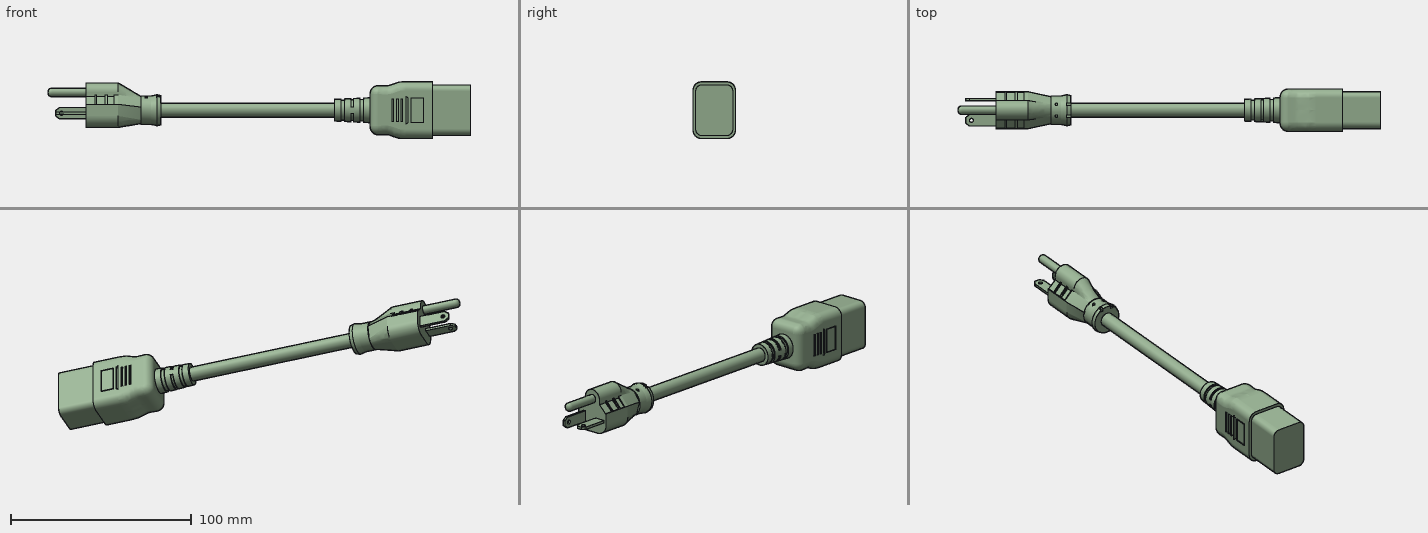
import cadquery as cq
import math


plug_face_x = 21.0
plug_taper_x = 38.8
collar_x = 51.4
plug_end_x = 62.3
relief_x = 158.3
housing_x = 177.9
shroud_x = 212.5
cord_end_x = 233.5

cutter_margin = 2.3

pin_diameter = 5.0
pin_height = 9.8
pin_tip_round = 2.0
blade_tip_x = 4.2
blade_width = 6.3
blade_thickness = 1.5
blade_tip_length = 2.0
blade_tip_inset = 1.6
blade_height = -1.6
upright_blade_y = 5.8
flat_blade_y = -5.5
blade_hole_x = 7.5
blade_hole_diameter = 2.0

crown_radius = 5.4
plug_half_width = 10.3
plug_bottom_z = -9.5
plug_corner_radius = 6.3
shoulder_top_z = 8.5
shoulder_bottom_z = 3.3

pocket_spans = [(plug_face_x, 26.0), (26.8, 31.5), (33.0, 36.5)]
pocket_inner_top_z = 7.5
pocket_inner_bottom_y = 9.8

collar_radius = 8.0
taper_end_radius = 7.7
rim_radius = 8.6
rim_x = 60.2
rim_flare_x = 57.0
collar_end_radius = 8.2
dimple_x = 54.5
dimple_y = 3.3
dimple_diameter = 1.5
dimple_depth = 1.2
rim_notch_length = 2.3
rim_notch_width = 1.5

cable_radius = 4.0

relief_start_radius = 6.0
relief_end_radius = 7.0
relief_groove_depth = 0.7
relief_ring_grooves = [(162.0, 163.9), (172.3, 174.4)]
relief_slot_start = 167.4
relief_slot_end = 168.8
relief_bridge_height = 3.5

housing_width = 23.5
housing_height = 31.5
grip_height = 27.3
housing_corner_radius = 5.0
housing_back_round = 4.7
blend_start_x = 182.8
ramp_start_x = 188.2
ramp_end_x = 193.8
blend_end_x = 197.7
ramp_rise = 1.9
shroud_width = 20.5
shroud_height = 28.0
shroud_corner_radius = 3.5

grip_groove_centers = [190.5, 193.0, 195.5]
grip_groove_width = 1.0
grip_groove_height = 12.4
grip_groove_depth = 1.2
stop_groove_x = 197.7
stop_groove_width = 1.2
stop_groove_back_height = 15.5
stop_groove_front_height = 13.5
panel_start_x = 200.5
panel_length = 7.0
panel_height = 13.5
panel_depth = 0.5


def on_circle(radius, degrees):
    """Point of a circle about the cable axis, in the YZ plane."""
    angle = math.radians(degrees)
    return radius * math.cos(angle), radius * math.sin(angle)


def mirrored(point):
    return -point[0], point[1]


def plug_section(plane, crown_top, right_points, corner_middle):
    """Closed section symmetric about Z: crown arc, sides, round lower corners and flat bottom.

    The five right-hand points run from the end of the crown arc down to the bottom flat;
    the last two are joined by an arc through corner_middle.
    """
    crown_end, shoulder_top, shoulder_bottom, corner_start, corner_end = right_points
    return (
        plane.moveTo(*mirrored(crown_end))
        .threePointArc(crown_top, crown_end)
        .lineTo(*shoulder_top)
        .lineTo(*shoulder_bottom)
        .lineTo(*corner_start)
        .threePointArc(corner_middle, corner_end)
        .lineTo(*mirrored(corner_end))
        .threePointArc(mirrored(corner_middle), mirrored(corner_start))
        .lineTo(*mirrored(shoulder_bottom))
        .lineTo(*mirrored(shoulder_top))
        .close()
    )


def plug_body_section(plane):
    corner_center_y = plug_half_width - plug_corner_radius
    corner_center_z = plug_bottom_z + plug_corner_radius
    corner_reach_y, corner_reach_z = on_circle(plug_corner_radius, -45)
    right_points = [
        (crown_radius, pin_height),
        (crown_radius, shoulder_top_z),
        (plug_half_width, shoulder_bottom_z),
        (plug_half_width, corner_center_z),
        (corner_center_y, plug_bottom_z),
    ]
    corner_middle = (corner_center_y + corner_reach_y, corner_center_z + corner_reach_z)
    return plug_section(plane, (0, pin_height + crown_radius), right_points, corner_middle)


def taper_end_section(plane):
    right_points = [on_circle(taper_end_radius, degrees) for degrees in (66, 60, 13, -45, -76)]
    return plug_section(plane, (0, taper_end_radius), right_points, on_circle(taper_end_radius, -60))


def make_collar():
    """Turned collar with a flared rim."""
    outline = [
        (collar_x, 0),
        (collar_x, collar_radius),
        (rim_flare_x, collar_radius),
        (rim_x, rim_radius),
        (plug_end_x, collar_end_radius),
        (plug_end_x, 0),
    ]
    collar = cq.Workplane("XY").polyline(outline).close().revolve(360, (0, 0, 0), (1, 0, 0))
    dimple_floor_z = math.sqrt(collar_radius**2 - dimple_y**2) - dimple_depth
    notch_floor_z = math.sqrt(collar_end_radius**2 - dimple_y**2) - dimple_depth
    for side in (-1, 1):
        dimple = (
            cq.Workplane("XY", origin=(dimple_x, side * dimple_y, dimple_floor_z))
            .circle(dimple_diameter / 2)
            .extrude(rim_radius)
        )
        notch = cq.Workplane("XY").box(
            rim_notch_length, rim_notch_width, rim_radius, centered=(False, True, False)
        ).translate((plug_end_x - rim_notch_length, side * dimple_y, notch_floor_z))
        collar = collar.cut(dimple).cut(notch)
    return collar


def finger_pocket(start_x, end_x, side):
    """Recess in one sloping shoulder, with a ledge along its lower edge."""
    outside_y = plug_half_width + cutter_margin
    outline = [
        (side * crown_radius, pin_height),
        (side * crown_radius, pocket_inner_top_z),
        (side * pocket_inner_bottom_y, shoulder_bottom_z),
        (side * outside_y, shoulder_bottom_z),
        (side * outside_y, pin_height),
    ]
    return cq.Workplane("YZ", origin=(start_x, 0, 0)).polyline(outline).close().extrude(end_x - start_x)


def make_ground_pin():
    return (
        cq.Workplane("YZ", origin=(0, 0, pin_height))
        .circle(pin_diameter / 2)
        .extrude(plug_face_x)
        .faces("<X")
        .edges()
        .fillet(pin_tip_round)
    )


def make_blade():
    """Blade lying flat on the cable axis, with a bevelled tip and a hole."""
    half_width = blade_width / 2
    tip_half_width = half_width - blade_tip_inset
    outline = [
        (plug_face_x, half_width),
        (blade_tip_x + blade_tip_length, half_width),
        (blade_tip_x, tip_half_width),
        (blade_tip_x, -tip_half_width),
        (blade_tip_x + blade_tip_length, -half_width),
        (plug_face_x, -half_width),
    ]
    blade = cq.Workplane("XY").polyline(outline).close().extrude(blade_thickness / 2, both=True)
    hole = (
        cq.Workplane("XY")
        .center(blade_hole_x, 0)
        .circle(blade_hole_diameter / 2)
        .extrude(blade_thickness, both=True)
    )
    return blade.cut(hole)


def make_plug():
    body = plug_body_section(cq.Workplane("YZ", origin=(plug_face_x, 0, 0)))
    body = body.extrude(plug_taper_x - plug_face_x)
    taper = plug_body_section(cq.Workplane("YZ", origin=(plug_taper_x, 0, 0)))
    taper = taper_end_section(taper.workplane(offset=collar_x - plug_taper_x)).loft(ruled=True)
    plug = body.union(taper).union(make_collar())
    for start_x, end_x in pocket_spans:
        for side in (-1, 1):
            plug = plug.cut(finger_pocket(start_x, end_x, side))

    flat_blade = make_blade().translate((0, flat_blade_y, blade_height))
    upright_blade = make_blade().rotate((0, 0, 0), (1, 0, 0), 90)
    upright_blade = upright_blade.translate((0, upright_blade_y, blade_height))
    return plug.union(make_ground_pin()).union(flat_blade).union(upright_blade)


def make_cable():
    return cq.Workplane("YZ", origin=(plug_end_x, 0, 0)).circle(cable_radius).extrude(relief_x - plug_end_x)


def relief_radius(x):
    """Outer radius of the conical strain relief at a place along X."""
    share = (x - relief_x) / (housing_x - relief_x)
    return relief_start_radius + share * (relief_end_radius - relief_start_radius)


def relief_ring(start_x, end_x):
    """Ring that cuts a groove of even depth around the strain relief."""
    floor_radius = relief_radius(start_x) - relief_groove_depth
    return (
        cq.Workplane("YZ", origin=(start_x, 0, 0))
        .circle(relief_end_radius + cutter_margin)
        .circle(floor_radius)
        .extrude(end_x - start_x)
    )


def make_strain_relief():
    outline = [
        (relief_x, 0),
        (relief_x, relief_start_radius),
        (housing_x, relief_end_radius),
        (housing_x, 0),
    ]
    relief = cq.Workplane("XY").polyline(outline).close().revolve(360, (0, 0, 0), (1, 0, 0))
    for start_x, end_x in relief_ring_grooves:
        relief = relief.cut(relief_ring(start_x, end_x))
    bridges = cq.Workplane("XY", origin=(relief_slot_start, 0, 0)).box(
        relief_slot_end - relief_slot_start,
        housing_width,
        relief_bridge_height,
        centered=(False, True, True),
    )
    return relief.cut(relief_ring(relief_slot_start, relief_slot_end).cut(bridges))


def make_housing():
    """Rounded block that steps up smoothly from the grip to its full height."""
    grip_z = grip_height / 2
    full_z = housing_height / 2
    ramp_top_z = grip_z + ramp_rise
    rising = [(ramp_start_x, grip_z), (ramp_end_x, ramp_top_z), (blend_end_x, full_z)]
    falling = [(ramp_end_x, -ramp_top_z), (ramp_start_x, -grip_z), (blend_start_x, -grip_z)]
    block = (
        cq.Workplane("XZ")
        .moveTo(housing_x, -grip_z)
        .lineTo(housing_x, grip_z)
        .lineTo(blend_start_x, grip_z)
        .spline(rising, tangents=[(1, 0), (1, 0)], includeCurrent=True)
        .lineTo(shroud_x, full_z)
        .lineTo(shroud_x, -full_z)
        .lineTo(blend_end_x, -full_z)
        .spline(falling, tangents=[(-1, 0), (-1, 0)], includeCurrent=True)
        .close()
        .extrude(housing_width / 2, both=True)
    )
    block = block.faces("<Y or >Y").edges("not |Z").fillet(housing_corner_radius)
    return block.faces("<X").edges().fillet(housing_back_round)


def side_cutter(outline, depth):
    """Prism over an XZ outline that reaches the given depth into the -Y side of the housing."""
    floor_y = depth - housing_width / 2
    return cq.Workplane("XZ", origin=(0, floor_y, 0)).polyline(outline).close().extrude(depth)


def upright_outline(start_x, end_x, start_height, end_height):
    return [
        (start_x, -start_height / 2),
        (start_x, start_height / 2),
        (end_x, end_height / 2),
        (end_x, -end_height / 2),
    ]


def side_cutters():
    """Grip grooves, stop groove and shallow panel of the -Y side."""
    cutters = []
    for center_x in grip_groove_centers:
        start_x = center_x - grip_groove_width / 2
        end_x = center_x + grip_groove_width / 2
        outline = upright_outline(start_x, end_x, grip_groove_height, grip_groove_height)
        cutters.append(side_cutter(outline, grip_groove_depth))
    stop_groove = upright_outline(
        stop_groove_x,
        stop_groove_x + stop_groove_width,
        stop_groove_back_height,
        stop_groove_front_height,
    )
    cutters.append(side_cutter(stop_groove, grip_groove_depth))
    panel = upright_outline(panel_start_x, panel_start_x + panel_length, panel_height, panel_height)
    cutters.append(side_cutter(panel, panel_depth))
    return cutters


def make_connector():
    housing = make_housing()
    for cutter in side_cutters():
        housing = housing.cut(cutter).cut(cutter.mirror("XZ"))
    shroud = (
        cq.Workplane("YZ", origin=(shroud_x, 0, 0))
        .rect(shroud_width, shroud_height)
        .extrude(cord_end_x - shroud_x)
        .edges("|X")
        .fillet(shroud_corner_radius)
    )
    return make_strain_relief().union(housing).union(shroud)


plug = make_plug()
cable = make_cable()
connector = make_connector()

result = cq.Compound.makeCompound([plug.val(), cable.val(), connector.val()])